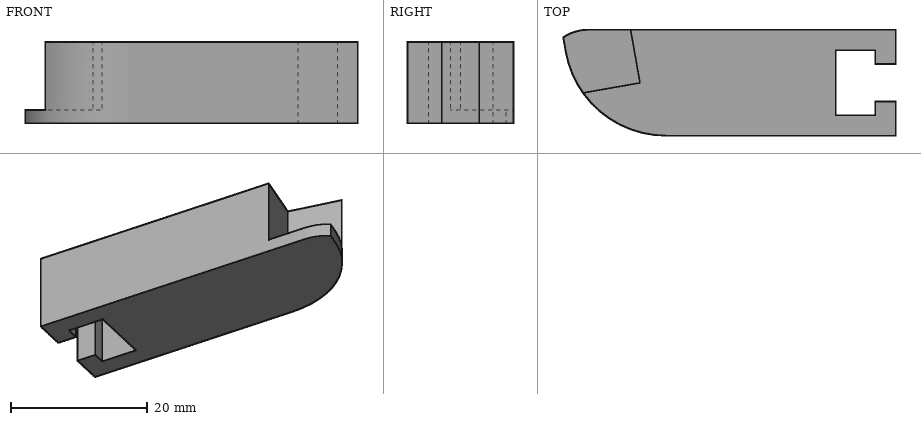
import cadquery as cq
import math

length = 48.9
width = 15.6
height = 12.0

tilt = math.radians(10)
nose_radius = 15.0
tip_drop = 1.12
tip_arc_length = 3.65

ledge_height = 2.0
step_corner_x = 11.3
step_corner_y = 7.8
cutter_size = 19.55

slot_depth = 8.8
slot_width = 9.55
lip_thickness = 3.05
throat_width = 5.5


def make_body():
    tip_y = width - tip_drop
    flat_end_y = nose_radius * (1 - math.sin(tilt))
    flat_end_x = (tip_y - flat_end_y) * math.tan(tilt)
    arc_center_x = flat_end_x + nose_radius * math.cos(tilt)
    mid_angle = (tilt + math.pi / 2) / 2
    arc_middle = (
        arc_center_x - nose_radius * math.cos(mid_angle),
        nose_radius * (1 - math.sin(mid_angle)),
    )
    return (
        cq.Workplane("XY")
        .moveTo(length, 0)
        .lineTo(length, width)
        .lineTo(tip_arc_length, width)
        .tangentArcPoint((0, tip_y), relative=False)
        .lineTo(flat_end_x, flat_end_y)
        .threePointArc(arc_middle, (arc_center_x, 0))
        .close()
        .extrude(height)
    )


def make_step_cutter():
    return (
        cq.Workplane("XY")
        .center(-cutter_size, 0)
        .rect(cutter_size, cutter_size, centered=False)
        .extrude(height - ledge_height)
        .rotate((0, 0, 0), (0, 0, 1), math.degrees(tilt))
        .translate((step_corner_x, step_corner_y, ledge_height))
    )


def make_slot_cutter():
    pocket_length = slot_depth - lip_thickness
    slot_start = cq.Workplane("XY").center(length - slot_depth, width / 2)
    pocket = slot_start.rect(pocket_length, slot_width, centered=(False, True)).extrude(height)
    throat = slot_start.rect(slot_depth, throat_width, centered=(False, True)).extrude(height)
    return pocket.union(throat)


result = make_body().cut(make_step_cutter()).cut(make_slot_cutter())